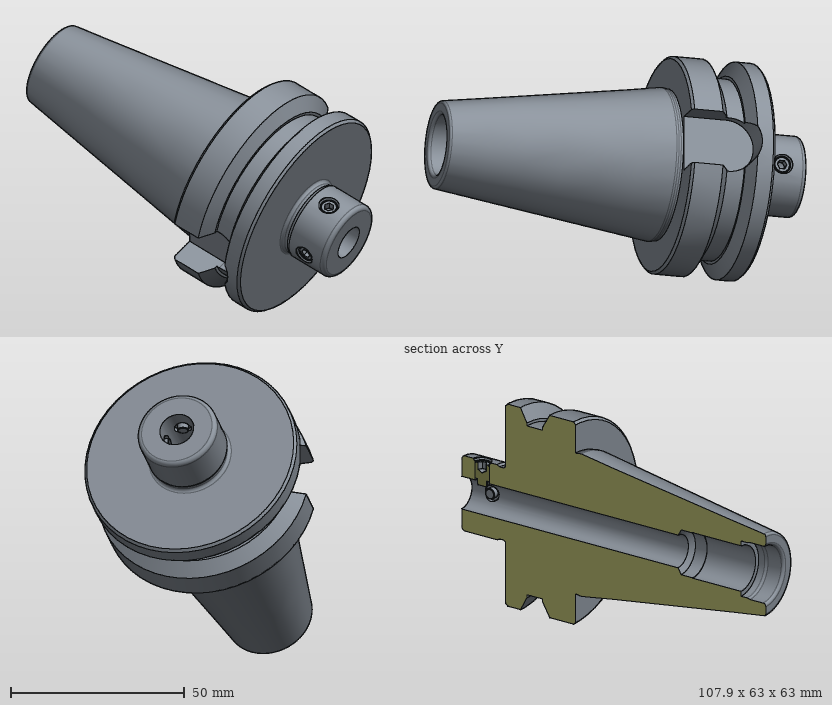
import cadquery as cq
import math

gauge_x = 65.4
gauge_dia = 44.5
taper_ratio = 7 / 24
small_dia = gauge_dia - taper_ratio * gauge_x
shank_fillet = 0.8
neck_dia = 44.0
gauge_band = 0.6
neck_step = 0.8

flange_dia = 63.0
flange_x = 67.4
flange_end_x = 92.4
flange_chamfer = 0.8
groove_start_x = 76.7
groove_floor_start_x = 79.3
groove_floor_end_x = 84.7
groove_end_x = 87.0
groove_flank_dia = 54.4
groove_floor_dia = 52.7

slot_width = 16.1
slot_end_x = 88.3
slot_floor_y = 22.5

nose_dia = 23.5
nose_neck_dia = 22.5
nose_start_x = 95.3
nose_end_x = 107.9
nose_fillet = 1.3
root_fillet = 1.0
nose_step = 1.0

mouth_dia = 19.4
entry_dia = 17.6
pilot_dia = 17.0
thread_dia = 14.0
core_dia = 13.8
through_dia = 10.0
entry_depth = 5.6
entry_slope = 1.0
pilot_depth = 8.7
thread_depth = 25.9
core_depth = 30.0
drill_point_angle = 59.0

screw_x = 100.7
screw_dia = 5.0
screw_chamfer = 0.3
screw_mouth_dia = 5.8
screw_top = 10.8
screw_tip = 3.8
dog_dia = 3.2
dog_chamfer = 0.2
dog_start = 5.6
socket_width = 2.5
socket_depth = 2.2
socket_cone_depth = 0.8
screw_turns = (0, 90)


def revolve_about_x(profile):
    """Revolve a closed XY profile about the X axis."""
    return profile.close().revolve(360, (0, 0, 0), (1, 0, 0))


def make_blank():
    """Outer turned shape: cone, flange, groove and nose."""
    flange_r = flange_dia / 2
    nose_r = nose_dia / 2
    nose_neck_r = nose_neck_dia / 2
    relief_x = gauge_x + gauge_band
    profile = (
        cq.Workplane("XY")
        .lineTo(0, small_dia / 2)
        .lineTo(gauge_x, gauge_dia / 2)
        .lineTo(relief_x, gauge_dia / 2)
        .lineTo(relief_x + neck_step, neck_dia / 2)
        .lineTo(flange_x, neck_dia / 2)
        .lineTo(flange_x, flange_r - flange_chamfer)
        .lineTo(flange_x + flange_chamfer, flange_r)
        .lineTo(groove_start_x, flange_r)
        .lineTo(groove_floor_start_x, groove_flank_dia / 2)
        .lineTo(groove_floor_start_x, groove_floor_dia / 2)
        .lineTo(groove_floor_end_x, groove_floor_dia / 2)
        .lineTo(groove_floor_end_x, groove_flank_dia / 2)
        .lineTo(groove_end_x, flange_r)
        .lineTo(flange_end_x - flange_chamfer, flange_r)
        .lineTo(flange_end_x, flange_r - flange_chamfer)
        .lineTo(flange_end_x, nose_neck_r + root_fillet)
        .radiusArc((flange_end_x + root_fillet, nose_neck_r), -root_fillet)
        .lineTo(nose_start_x - nose_step, nose_neck_r)
        .lineTo(nose_start_x, nose_r)
        .lineTo(nose_end_x - nose_fillet, nose_r)
        .radiusArc((nose_end_x, nose_r - nose_fillet), nose_fillet)
        .lineTo(nose_end_x, 0)
    )
    return revolve_about_x(profile).faces("<X").edges().fillet(shank_fillet)


def make_bore():
    """Drawbar bore, thread core and through hole."""
    mouth_radius = (mouth_dia - entry_dia) / 2
    point_length = (core_dia - through_dia) / 2 / math.tan(math.radians(drill_point_angle))
    profile = (
        cq.Workplane("XY")
        .lineTo(0, mouth_dia / 2)
        .radiusArc((mouth_radius, entry_dia / 2), -mouth_radius)
        .lineTo(entry_depth, entry_dia / 2)
        .lineTo(entry_depth + entry_slope, pilot_dia / 2)
        .lineTo(pilot_depth, pilot_dia / 2)
        .lineTo(pilot_depth, thread_dia / 2)
        .lineTo(thread_depth, thread_dia / 2)
        .lineTo(thread_depth, core_dia / 2)
        .lineTo(core_depth, core_dia / 2)
        .lineTo(core_depth + point_length, through_dia / 2)
        .lineTo(nose_end_x, through_dia / 2)
        .lineTo(nose_end_x, 0)
    )
    return revolve_about_x(profile)


def make_drive_slot(side):
    """Round-ended slot, open toward the shank; side is -1 or +1 along Y."""
    radius = slot_width / 2
    outer_y = flange_dia / 2
    centre_x = slot_end_x - radius
    return (
        cq.Workplane("XZ", origin=(0, side * slot_floor_y, 0))
        .moveTo(flange_x, -radius)
        .lineTo(centre_x, -radius)
        .threePointArc((slot_end_x, 0), (centre_x, radius))
        .lineTo(flange_x, radius)
        .close()
        .extrude(-side * (outer_y - slot_floor_y))
    )


def place_screw_shape(shape, turn):
    """Move a shape built along +Z to its place on the nose."""
    return shape.rotate((0, 0, 0), (1, 0, 0), turn).translate((screw_x, 0, 0))


def make_screw_hole(turn):
    """Radial hole that fits one screw, with a countersink at the nose surface."""
    nose_r = nose_dia / 2
    countersink_depth = (screw_mouth_dia - screw_dia) / 2
    surface_sag = nose_r - math.sqrt(nose_r**2 - (screw_mouth_dia / 2) ** 2)
    cone_top = nose_r - surface_sag
    profile = (
        cq.Workplane("XZ")
        .lineTo(screw_dia / 2, 0)
        .lineTo(screw_dia / 2, cone_top - countersink_depth)
        .lineTo(screw_mouth_dia / 2, cone_top)
        .lineTo(screw_mouth_dia / 2, nose_r)
        .lineTo(0, nose_r)
        .close()
    )
    return place_screw_shape(profile.revolve(360, (0, 0, 0), (0, 1, 0)), turn)


def make_set_screw(turn):
    """Hexagon-socket screw with a dog point toward the axis."""
    radius = screw_dia / 2
    body = (
        cq.Workplane("XZ")
        .moveTo(0, screw_tip)
        .lineTo(dog_dia / 2 - dog_chamfer, screw_tip)
        .lineTo(dog_dia / 2, screw_tip + dog_chamfer)
        .lineTo(dog_dia / 2, dog_start)
        .lineTo(radius, dog_start)
        .lineTo(radius, screw_top - screw_chamfer)
        .lineTo(radius - screw_chamfer, screw_top)
        .lineTo(0, screw_top)
        .close()
        .revolve(360, (0, 0, 0), (0, 1, 0))
    )
    socket = (
        cq.Workplane("XY", origin=(0, 0, screw_top))
        .polygon(6, socket_width / math.cos(math.pi / 6))
        .extrude(-socket_depth)
    )
    drill_point = cq.Workplane(
        cq.Solid.makeCone(
            socket_width / 2, 0, socket_cone_depth,
            pnt=cq.Vector(0, 0, screw_top - socket_depth), dir=cq.Vector(0, 0, -1),
        )
    )
    return place_screw_shape(body.cut(socket).cut(drill_point), turn)


holder = make_blank().cut(make_bore())
for side in (-1, 1):
    holder = holder.cut(make_drive_slot(side))
for turn in screw_turns:
    holder = holder.cut(make_screw_hole(turn))

set_screws = [make_set_screw(turn) for turn in screw_turns]

result = cq.Compound.makeCompound([holder.val(), *[screw.val() for screw in set_screws]])